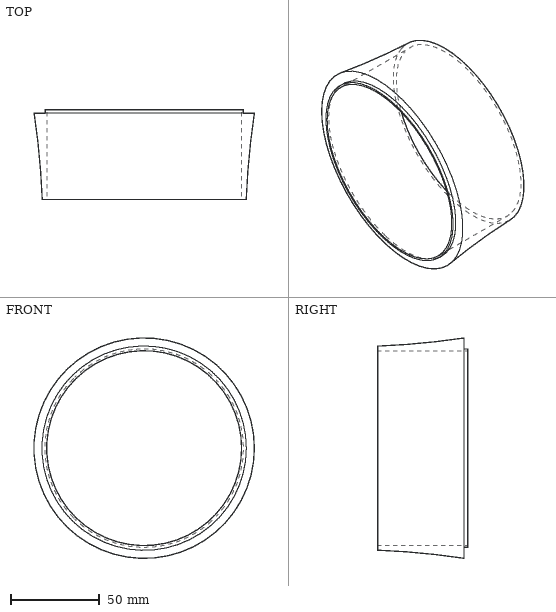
import cadquery as cq

outer_diameter = 124.4
narrow_diameter = 115.2
lip_diameter = 112.0
bore_diameter = 109.7
total_length = 50.8
lip_length = 2.0
flare_sag = 0.67

outer_radius = outer_diameter / 2
narrow_radius = narrow_diameter / 2
lip_radius = lip_diameter / 2
bore_radius = bore_diameter / 2
body_length = total_length - lip_length

flare_middle = ((outer_radius + narrow_radius) / 2 - flare_sag, body_length / 2)

wall_section = (
    cq.Workplane("XY")
    .moveTo(bore_radius, 0)
    .lineTo(narrow_radius, 0)
    .threePointArc(flare_middle, (outer_radius, body_length))
    .lineTo(lip_radius, body_length)
    .lineTo(lip_radius, total_length)
    .lineTo(bore_radius, total_length)
    .close()
)

result = wall_section.revolve(360, (0, 0, 0), (0, 1, 0))